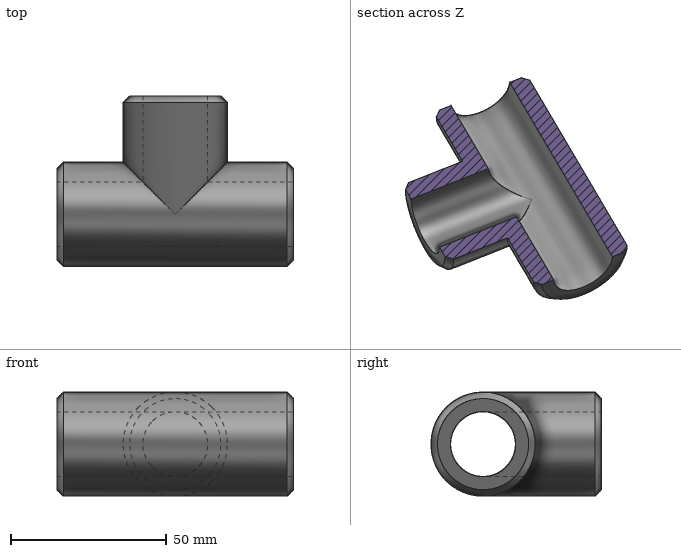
import cadquery as cq

outer_diameter = 33.53
bore_diameter = 20.83
centre_to_end = 38.1
bevel = 2.1

run_length = 2 * centre_to_end


def run_cylinder(diameter):
    """Cylinder along X spanning both ends of the run."""
    return cq.Workplane("YZ").circle(diameter / 2).extrude(run_length / 2, both=True)


def branch_cylinder(diameter):
    """Cylinder along +Y from the run axis to the branch end."""
    return cq.Workplane("XZ").circle(diameter / 2).extrude(-centre_to_end)


run_body = run_cylinder(outer_diameter).faces("<X or >X").edges().chamfer(bevel)
branch_body = branch_cylinder(outer_diameter).faces(">Y").edges().chamfer(bevel)
body = run_body.union(branch_body)

bores = run_cylinder(bore_diameter).union(branch_cylinder(bore_diameter))

result = body.cut(bores)